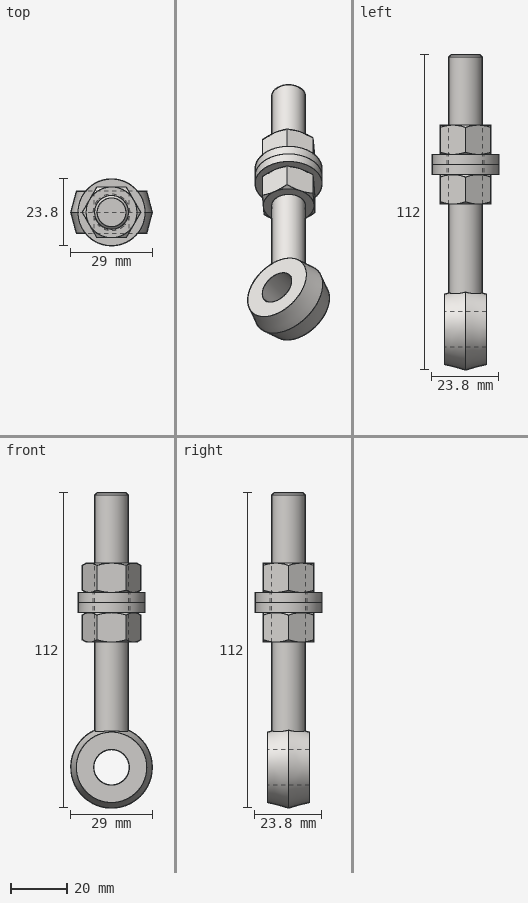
import cadquery as cq
import math

EYE_RIDGE_DIAMETER = 29.0
EYE_FACE_DIAMETER = 25.0
EYE_WIDTH = 15.0
EYE_BORE_DIAMETER = 12.5

SHANK_DIAMETER = 12.0
SHANK_TIP_DIAMETER = 10.2
SHANK_TOP_Z = 97.5
SHANK_TIP_CHAMFER = (SHANK_DIAMETER - SHANK_TIP_DIAMETER) / 2
SHANK_SEAM_ANGLE = 45.0

NUT_ACROSS_FLATS = 18.0
NUT_ACROSS_CORNERS = NUT_ACROSS_FLATS / math.cos(math.radians(30))
NUT_HEIGHT = 10.4
NUT_CHAMFER_ANGLE = 30.0

WASHER_DIAMETER = 23.8
WASHER_BORE_DIAMETER = 13.0
WASHER_THICKNESS = 3.6

WASHER_JOINT_Z = 58.45
UPPER_NUT_BOTTOM_Z = WASHER_JOINT_Z + WASHER_THICKNESS
LOWER_WASHER_BOTTOM_Z = WASHER_JOINT_Z - WASHER_THICKNESS
LOWER_NUT_BOTTOM_Z = LOWER_WASHER_BOTTOM_Z - NUT_HEIGHT


def make_eye_bolt():
    """Eye and shank in one piece, with the eye bore at the origin."""
    half_width = EYE_WIDTH / 2
    bore_radius = EYE_BORE_DIAMETER / 2
    eye_half_section = [
        (bore_radius, -half_width),
        (EYE_FACE_DIAMETER / 2, -half_width),
        (EYE_RIDGE_DIAMETER / 2, 0),
        (EYE_FACE_DIAMETER / 2, half_width),
        (bore_radius, half_width),
    ]
    eye = cq.Workplane("XY").polyline(eye_half_section).close().revolve(360, (0, 0), (0, 1))
    shank_root_z = (bore_radius + EYE_FACE_DIAMETER / 2) / 2
    shank = (
        cq.Workplane("XY", origin=(0, 0, shank_root_z))
        .circle(SHANK_DIAMETER / 2)
        .extrude(SHANK_TOP_Z - shank_root_z)
        .faces(">Z")
        .chamfer(SHANK_TIP_CHAMFER)
        .rotate((0, 0, 0), (0, 0, 1), SHANK_SEAM_ANGLE)
    )
    return eye.union(shank)


def make_nut(bottom_z):
    """Hexagon nut with corners on the X axis, coned at both ends and bored to fit the shank."""
    flat_radius = NUT_ACROSS_FLATS / 2
    corner_radius = NUT_ACROSS_CORNERS / 2
    chamfer_height = (corner_radius - flat_radius) * math.tan(math.radians(NUT_CHAMFER_ANGLE))
    coned_half_section = [
        (0, 0),
        (flat_radius, 0),
        (corner_radius, chamfer_height),
        (corner_radius, NUT_HEIGHT - chamfer_height),
        (flat_radius, NUT_HEIGHT),
        (0, NUT_HEIGHT),
    ]
    hexagon = cq.Workplane("XY").polygon(6, NUT_ACROSS_CORNERS).extrude(NUT_HEIGHT)
    coned_blank = cq.Workplane("XZ").polyline(coned_half_section).close().revolve(360, (0, 0), (0, 1))
    bore = cq.Workplane("XY").circle(SHANK_DIAMETER / 2).extrude(NUT_HEIGHT)
    return hexagon.intersect(coned_blank).cut(bore).translate((0, 0, bottom_z))


def make_washer(bottom_z):
    """Plain flat washer with clearance around the shank."""
    return (
        cq.Workplane("XY", origin=(0, 0, bottom_z))
        .circle(WASHER_DIAMETER / 2)
        .circle(WASHER_BORE_DIAMETER / 2)
        .extrude(WASHER_THICKNESS)
    )


eye_bolt = make_eye_bolt()
nuts = [make_nut(bottom_z) for bottom_z in (LOWER_NUT_BOTTOM_Z, UPPER_NUT_BOTTOM_Z)]
washers = [make_washer(bottom_z) for bottom_z in (LOWER_WASHER_BOTTOM_Z, WASHER_JOINT_Z)]

bodies = [eye_bolt, *nuts, *washers]
result = cq.Compound.makeCompound([body.solids().val() for body in bodies])